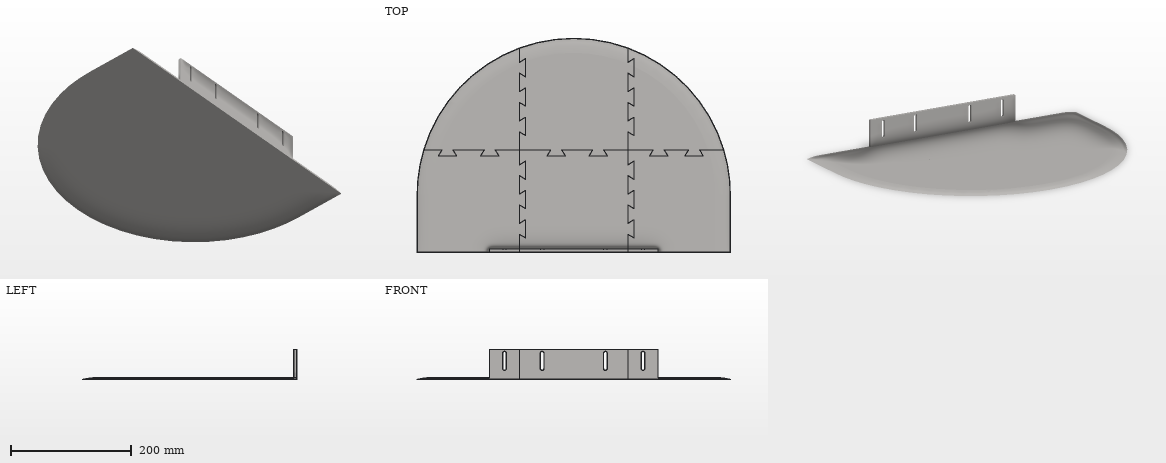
import cadquery as cq
import math

mat_width = 520.0
mat_depth = 355.0
mat_thickness = 3.0
outer_radius = mat_width / 2
arc_center_y = mat_depth - outer_radius

rim_width = 24.5
flat_radius = outer_radius - rim_width
rim_arc_radius = (rim_width**2 + mat_thickness**2) / (2 * mat_thickness)

wall_length = 280.0
wall_height = 50.0
wall_thickness = 5.0

column_seam_x = 90.0
row_seam_y = 170.0
margin = 26.0

tooth_depth = 10.0
tooth_root_width = 18.0
tooth_tip_width = 30.0

first_tooth_y = 39.0
last_tooth_y = 136.0
middle_tooth_y = (first_tooth_y + last_tooth_y) / 2
column_tooth_ys = [
    row_front + y for row_front in (0, row_seam_y) for y in (first_tooth_y, middle_tooth_y, last_tooth_y)
]

left_tooth_xs = [-209.5, -139.5]
middle_tooth_xs = [-29.0, 40.5]
right_tooth_xs = [141.0, 199.5]
row_tooth_xs = left_tooth_xs + middle_tooth_xs + right_tooth_xs

slot_width = 5.5
slot_length = 31.0
slot_top_gap = 3.5
outer_slot_x = (column_seam_x + wall_length / 2) / 2
inner_slot_x = 52.5
slot_center_z = wall_height - slot_top_gap - slot_length / 2


def rim_profile():
    """Half section of the mat from the center line to the sharp outer edge."""
    half_angle = math.asin(rim_width / rim_arc_radius) / 2
    arc_middle = (
        flat_radius + rim_arc_radius * math.sin(half_angle),
        mat_thickness - rim_arc_radius * (1 - math.cos(half_angle)),
    )
    return (
        cq.Workplane("XZ")
        .lineTo(outer_radius, 0)
        .threePointArc(arc_middle, (flat_radius, mat_thickness))
        .lineTo(0, mat_thickness)
        .close()
    )


def make_mat():
    """Straight front stretch and half-round back of the whole mat."""
    right_front = rim_profile().extrude(-arc_center_y)
    left_front = right_front.mirror("YZ")
    back = rim_profile().revolve(180, (0, 0), (0, 1)).translate((0, arc_center_y, 0))
    return right_front.union(left_front).union(back).clean()


def make_wall():
    """Upright wall with its four slots."""
    wall = cq.Workplane("XY").box(wall_length, wall_thickness, wall_height, centered=(True, False, False))
    slot_centers = [
        (side * x, slot_center_z) for side in (-1, 1) for x in (inner_slot_x, outer_slot_x)
    ]
    slots = (
        cq.Workplane("XZ")
        .pushPoints(slot_centers)
        .slot2D(slot_length, slot_width, 90)
        .extrude(-wall_thickness)
    )
    return wall.cut(slots)


def toothed_line(start, end, tooth_centers):
    """Points (along, across) of a seam whose dovetail teeth stand out across it."""
    points = [(start, 0)]
    for center in tooth_centers:
        points += [
            (center - tooth_root_width / 2, 0),
            (center - tooth_tip_width / 2, tooth_depth),
            (center + tooth_tip_width / 2, tooth_depth),
            (center + tooth_root_width / 2, 0),
        ]
    return points + [(end, 0)]


def left_of_seam(seam_x):
    """Space left of a column seam, with teeth toward +X."""
    front = -margin
    back = mat_depth + margin
    left = -outer_radius - margin
    seam = [(seam_x + across, y) for y, across in toothed_line(front, back, column_tooth_ys)]
    outline = [(left, front)] + seam + [(left, back)]
    return cq.Workplane("XY").polyline(outline).close().extrude(wall_height)


def behind_row_seam():
    """Space behind the row seam, with teeth toward -Y."""
    side = outer_radius + margin
    back = mat_depth + margin
    seam = [(x, row_seam_y - across) for x, across in toothed_line(-side, side, row_tooth_xs)]
    outline = seam + [(side, back), (-side, back)]
    return cq.Workplane("XY").polyline(outline).close().extrude(wall_height)


whole = make_mat().union(make_wall())
left_space = left_of_seam(-column_seam_x)
left_and_middle_space = left_of_seam(column_seam_x)
back_space = behind_row_seam()

columns = [
    whole.intersect(left_space),
    whole.intersect(left_and_middle_space).cut(left_space),
    whole.cut(left_and_middle_space),
]
front_tiles = [column.cut(back_space).solids().val() for column in columns]
back_tiles = [column.intersect(back_space).solids().val() for column in columns]

result = cq.Compound.makeCompound([*front_tiles, *back_tiles])